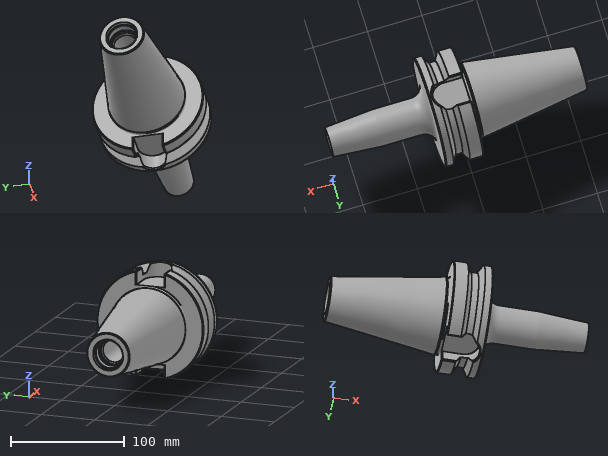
import cadquery as cq
import math


GAUGE_RADIUS = 69.85 / 2
TAPER_SLOPE = 7 / 48
TAPER_LENGTH = 101.8
TAPER_END_CHAMFER = 0.8

NECK_CONE_START = -1.2
NECK_START = 0.2
NECK_RADIUS = 34.1
NECK_FILLET = 1.4

FLANGE_RADIUS = 50.0
FLANGE_FRONT = 3.0
FLANGE_BACK = 38.0
FLANGE_FRONT_CHAMFER = 0.8
FLANGE_BACK_CHAMFER = 1.0
GROOVE_CENTER = 23.1
GROOVE_ROOT_WIDTH = 6.1
GROOVE_ROOT_RADIUS = 42.3
GROOVE_HALF_ANGLE = 30.0

SLOT_WIDTH = 25.7
SLOT_FLOOR_HEIGHT = 35.4
SLOT_END = 34.4
SLOT_CHAMFER = 1.2
SELECTION_MARGIN = 0.1

NOSE_END = 130.0
NOSE_RADIUS = 17.0
NOSE_FILLET = 12.0
NOSE_TAPER_START = 85.4
NOSE_TIP_RADIUS = 13.7
NOSE_TIP_CHAMFER = 1.3
NOSE_TIP_CHAMFER_DEPTH = 0.5

MOUTH_RADIUS = 14.1
MOUTH_INNER_RADIUS = 13.6
MOUTH_DEPTH = 3.2
PILOT_RADIUS = 12.5
PILOT_DEPTH = 10.0
RECESS_RADIUS = 11.9
RECESS_DEPTH = 13.2
THREAD_MOUTH_RADIUS = 11.6
THREAD_RADIUS = 10.2
BORE_DEPTH = 60.0
DRILL_POINT_ANGLE = 118.0

GROOVE_FLANK_LENGTH = (FLANGE_RADIUS - GROOVE_ROOT_RADIUS) * math.tan(math.radians(GROOVE_HALF_ANGLE))
GROOVE_ROOT_FRONT = GROOVE_CENTER - GROOVE_ROOT_WIDTH / 2
GROOVE_ROOT_BACK = GROOVE_CENTER + GROOVE_ROOT_WIDTH / 2
GROOVE_RIM_FRONT = GROOVE_ROOT_FRONT - GROOVE_FLANK_LENGTH
GROOVE_RIM_BACK = GROOVE_ROOT_BACK + GROOVE_FLANK_LENGTH

PROFILE_PLANE = cq.Plane(origin=(0, 0, 0), xDir=(1, 0, 0), normal=(0, 0, -1))
DIAGONAL = math.sqrt(0.5)


def taper_radius(x):
    return GAUGE_RADIUS + TAPER_SLOPE * x


def revolve_about_tool_axis(outline):
    return outline.revolve(360, (0, 0, 0), (1, 0, 0))


def fillet_midpoint(x_center, r_center, radius, x_direction):
    """Middle of a quarter-circle fillet that lies on the axis side of its centre."""
    return (x_center + x_direction * radius * DIAGONAL, r_center - radius * DIAGONAL)


def turned_body():
    small_end = -TAPER_LENGTH
    chamfer_x = small_end + TAPER_END_CHAMFER
    neck_fillet_start = FLANGE_FRONT - NECK_FILLET
    neck_fillet_end = NECK_RADIUS + NECK_FILLET
    nose_fillet_start = NOSE_RADIUS + NOSE_FILLET
    nose_fillet_end = FLANGE_BACK + NOSE_FILLET
    neck_arc_mid = fillet_midpoint(neck_fillet_start, neck_fillet_end, NECK_FILLET, 1)
    nose_arc_mid = fillet_midpoint(nose_fillet_end, nose_fillet_start, NOSE_FILLET, -1)
    outline = (
        cq.Workplane(PROFILE_PLANE)
        .moveTo(small_end, 0)
        .lineTo(small_end, taper_radius(small_end) - TAPER_END_CHAMFER)
        .lineTo(chamfer_x, taper_radius(chamfer_x))
        .lineTo(NECK_CONE_START, taper_radius(NECK_CONE_START))
        .lineTo(NECK_START, NECK_RADIUS)
        .lineTo(neck_fillet_start, NECK_RADIUS)
        .threePointArc(neck_arc_mid, (FLANGE_FRONT, neck_fillet_end))
        .lineTo(FLANGE_FRONT, FLANGE_RADIUS - FLANGE_FRONT_CHAMFER)
        .lineTo(FLANGE_FRONT + FLANGE_FRONT_CHAMFER, FLANGE_RADIUS)
        .lineTo(GROOVE_RIM_FRONT, FLANGE_RADIUS)
        .lineTo(GROOVE_ROOT_FRONT, GROOVE_ROOT_RADIUS)
        .lineTo(GROOVE_ROOT_BACK, GROOVE_ROOT_RADIUS)
        .lineTo(GROOVE_RIM_BACK, FLANGE_RADIUS)
        .lineTo(FLANGE_BACK - FLANGE_BACK_CHAMFER, FLANGE_RADIUS)
        .lineTo(FLANGE_BACK, FLANGE_RADIUS - FLANGE_BACK_CHAMFER)
        .lineTo(FLANGE_BACK, nose_fillet_start)
        .threePointArc(nose_arc_mid, (nose_fillet_end, NOSE_RADIUS))
        .lineTo(NOSE_TAPER_START, NOSE_RADIUS)
        .lineTo(NOSE_END - NOSE_TIP_CHAMFER, NOSE_TIP_RADIUS)
        .lineTo(NOSE_END, NOSE_TIP_RADIUS - NOSE_TIP_CHAMFER_DEPTH)
        .lineTo(NOSE_END, 0)
        .close()
    )
    return revolve_about_tool_axis(outline)


def bore():
    mouth = -TAPER_LENGTH
    pilot_end = mouth + PILOT_DEPTH
    recess_end = mouth + RECESS_DEPTH
    bottom = mouth + BORE_DEPTH
    point_length = THREAD_RADIUS / math.tan(math.radians(DRILL_POINT_ANGLE / 2))
    outline = (
        cq.Workplane(PROFILE_PLANE)
        .moveTo(mouth, 0)
        .lineTo(mouth, MOUTH_RADIUS)
        .lineTo(mouth + MOUTH_DEPTH, MOUTH_INNER_RADIUS)
        .lineTo(mouth + MOUTH_DEPTH, PILOT_RADIUS)
        .lineTo(pilot_end, PILOT_RADIUS)
        .lineTo(pilot_end + PILOT_RADIUS - RECESS_RADIUS, RECESS_RADIUS)
        .lineTo(recess_end, RECESS_RADIUS)
        .lineTo(recess_end, THREAD_MOUTH_RADIUS)
        .lineTo(recess_end + THREAD_MOUTH_RADIUS - THREAD_RADIUS, THREAD_RADIUS)
        .lineTo(bottom, THREAD_RADIUS)
        .lineTo(bottom + point_length, 0)
        .close()
    )
    return revolve_about_tool_axis(outline)


def drive_slot(side):
    """Round-ended slot, open towards the taper; side is 1 for the top and -1 for the bottom."""
    end_radius = SLOT_WIDTH / 2
    arc_start = SLOT_END - end_radius
    return (
        cq.Workplane("XY", origin=(0, 0, side * SLOT_FLOOR_HEIGHT))
        .moveTo(0, -end_radius)
        .lineTo(arc_start, -end_radius)
        .threePointArc((SLOT_END, 0), (arc_start, end_radius))
        .lineTo(0, end_radius)
        .close()
        .extrude(side * FLANGE_RADIUS)
    )


def edges_in_slot(body, x_min, x_max, side):
    """Edges of one slot, above its floor, whose centres lie between two axial positions."""
    half_width = SLOT_WIDTH / 2 + SELECTION_MARGIN
    low = side * (SLOT_FLOOR_HEIGHT + SELECTION_MARGIN)
    high = side * (FLANGE_RADIUS + SELECTION_MARGIN)
    box = cq.selectors.BoxSelector((x_min, -half_width, low), (x_max, half_width, high))
    return body.edges(box)


def chamfer_slot_mouth(body, side):
    """Chamfer the slot mouth on the front land, then around its round end on the back land."""
    front = edges_in_slot(body, FLANGE_FRONT - SELECTION_MARGIN, GROOVE_RIM_FRONT, side)
    body = front.chamfer(SLOT_CHAMFER)
    round_end = edges_in_slot(body, GROOVE_RIM_BACK, FLANGE_BACK, side)
    return round_end.chamfer(SLOT_CHAMFER)


result = turned_body().cut(bore())
for slot_side in (1, -1):
    result = result.cut(drive_slot(slot_side))
    result = chamfer_slot_mouth(result, slot_side)